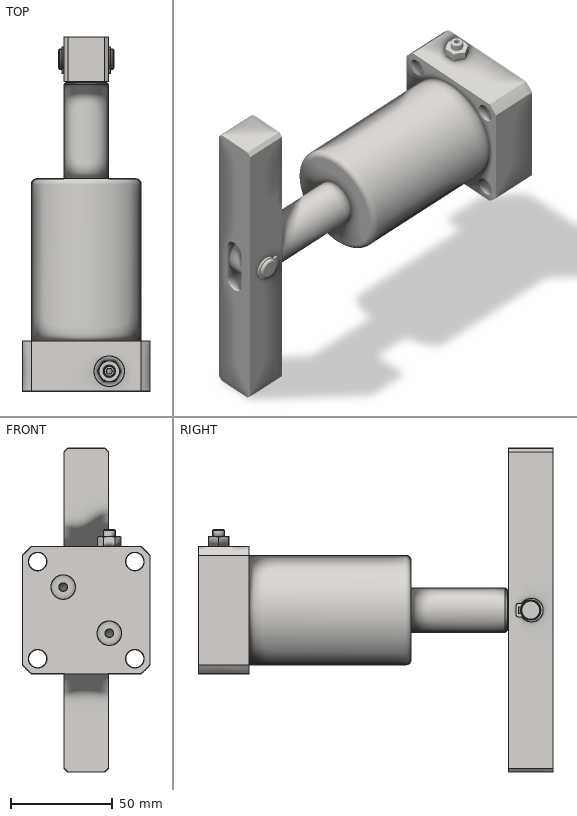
import cadquery as cq
import math


FLANGE_WIDTH = 63.0
FLANGE_DEPTH = 25.0
FLANGE_CORNER_DIAMETER = 83.0
CYLINDER_DIAMETER = 54.0
CYLINDER_END_Y = 105.0
CYLINDER_EDGE_RADIUS = 2.8
BOLT_HOLE_DIAMETER = 9.0
BOLT_HOLE_OFFSET = 24.0

PORT_OFFSET = 11.4
PORT_SEAL_DIAMETER = 12.0
PORT_SEAL_DEPTH = 1.4
PORT_DRILL_DIAMETER = 4.2
PORT_DRILL_DEPTH = 7.0
DRILL_POINT_ANGLE = 118.0

VALVE_X = PORT_OFFSET
VALVE_Y = 10.0
PLUG_DIAMETER = 15.0
PLUG_DEPTH = 5.0
HEXAGON_FLATS = 10.2
HEXAGON_HEIGHT = 4.9
HEXAGON_BEVEL_ANGLE = 30.0
SCREW_DIAMETER = 6.0
SCREW_HEIGHT = 3.3
SCREW_CHAMFER = 0.5
SOCKET_FLATS = 2.8
SOCKET_DEPTH = 2.1

OVERALL_LENGTH = 175.0
ARM_WIDTH = 22.0
ARM_LENGTH = 160.0
ARM_CHAMFER = 2.0
ARM_FRONT_Y = OVERALL_LENGTH - ARM_WIDTH
SLOT_WIDTH = 10.0
SLOT_LENGTH = 30.6

ROD_DIAMETER = ARM_WIDTH
ROD_GAP = 0.5
ROD_CHAMFER = 1.0
ROD_SHOULDER_Y = ARM_FRONT_Y - ROD_GAP
TONGUE_DIAMETER = ROD_DIAMETER - 2 * ROD_CHAMFER

PIN_DIAMETER = 10.0
PIN_LENGTH = 27.3
PIN_CHAMFER = 0.5
PIN_Y = OVERALL_LENGTH - ARM_WIDTH / 2
RING_DIAMETER = 11.5
RING_OFFSET = 0.4
RING_THICKNESS = 1.0
RING_LUG_REACH = 7.2
RING_LUG_WIDTH = 6.6
RING_LUG_CORNER_RADIUS = 1.0
RING_NOTCH_REACH = 6.1
RING_NOTCH_WIDTH = 3.2


def cylinder_along_y(diameter, start_y, end_y, x=0.0, z=0.0):
    """A cylinder parallel to the Y axis."""
    solid = cq.Solid.makeCylinder(diameter / 2, end_y - start_y, cq.Vector(x, start_y, z), cq.Vector(0, 1, 0))
    return cq.Workplane(obj=solid)


def cylinder_along_x(diameter, length):
    """A cylinder on the pin axis, centred on X = 0."""
    start = cq.Vector(-length / 2, PIN_Y, 0)
    return cq.Workplane(obj=cq.Solid.makeCylinder(diameter / 2, length, start, cq.Vector(1, 0, 0)))


def box_between(x_range, y_range, z_range):
    """A box given by its lower and upper limit on each axis."""
    lower, upper = zip(x_range, y_range, z_range)
    size = [high - low for low, high in zip(lower, upper)]
    return cq.Workplane().box(*size, centered=False).translate(lower)


def make_flange():
    """Square plate whose corners are turned off round."""
    half = FLANGE_WIDTH / 2
    plate = box_between((-half, half), (0, FLANGE_DEPTH), (-half, half))
    return plate.intersect(cylinder_along_y(FLANGE_CORNER_DIAMETER, 0, FLANGE_DEPTH))


def make_port(x, z):
    """Seal recess and blind drilling with a conical bottom, as a cutting shape."""
    recess = cylinder_along_y(PORT_SEAL_DIAMETER, 0, PORT_SEAL_DEPTH, x, z)
    drilling = cylinder_along_y(PORT_DRILL_DIAMETER, 0, PORT_DRILL_DEPTH, x, z)
    radius = PORT_DRILL_DIAMETER / 2
    point_height = radius / math.tan(math.radians(DRILL_POINT_ANGLE / 2))
    point_start = cq.Vector(x, PORT_DRILL_DEPTH, z)
    point = cq.Solid.makeCone(radius, 0, point_height, point_start, cq.Vector(0, 1, 0))
    return recess.union(drilling).union(cq.Workplane(obj=point))


def make_plug():
    """Disc flush with the flange's top side; also the recess cut for it."""
    plane = cq.Workplane("XY", origin=(VALVE_X, VALVE_Y, FLANGE_WIDTH / 2 - PLUG_DEPTH))
    return plane.circle(PLUG_DIAMETER / 2).extrude(PLUG_DEPTH)


def make_housing():
    barrel = cylinder_along_y(CYLINDER_DIAMETER, FLANGE_DEPTH, CYLINDER_END_Y)
    barrel = barrel.faces(">Y").edges().fillet(CYLINDER_EDGE_RADIUS)
    housing = make_flange().union(barrel)
    for x_side in (-1, 1):
        for z_side in (-1, 1):
            hole_x = x_side * BOLT_HOLE_OFFSET
            hole_z = z_side * BOLT_HOLE_OFFSET
            housing = housing.cut(cylinder_along_y(BOLT_HOLE_DIAMETER, 0, FLANGE_DEPTH, hole_x, hole_z))
    for port_side in (-1, 1):
        housing = housing.cut(make_port(port_side * PORT_OFFSET, -port_side * PORT_OFFSET))
    return housing.cut(make_plug())


def hexagon_prism(flats, height, start_z):
    """Hexagonal prism on the valve axis, with two of its flats facing along Y."""
    corners = flats / math.cos(math.radians(30))
    plane = cq.Workplane("XY", origin=(VALVE_X, VALVE_Y, start_z))
    return plane.polygon(6, corners).extrude(height)


def make_hexagon():
    """Wrench hexagon whose upper corners are bevelled by a cone that meets the top at its flats."""
    start_z = FLANGE_WIDTH / 2
    prism = hexagon_prism(HEXAGON_FLATS, HEXAGON_HEIGHT, start_z)
    top_radius = HEXAGON_FLATS / 2
    base_radius = top_radius + HEXAGON_HEIGHT / math.tan(math.radians(HEXAGON_BEVEL_ANGLE))
    base_centre = cq.Vector(VALVE_X, VALVE_Y, start_z)
    bevel = cq.Solid.makeCone(base_radius, top_radius, HEXAGON_HEIGHT, base_centre, cq.Vector(0, 0, 1))
    return prism.intersect(cq.Workplane(obj=bevel))


def make_valve():
    screw_z = FLANGE_WIDTH / 2 + HEXAGON_HEIGHT
    screw_top_z = screw_z + SCREW_HEIGHT
    screw = cq.Workplane("XY", origin=(VALVE_X, VALVE_Y, screw_z)).circle(SCREW_DIAMETER / 2)
    screw = screw.extrude(SCREW_HEIGHT).faces(">Z").edges().chamfer(SCREW_CHAMFER)
    socket = hexagon_prism(SOCKET_FLATS, SOCKET_DEPTH, screw_top_z - SOCKET_DEPTH)
    return make_plug().union(make_hexagon()).union(screw).cut(socket)


def make_rod():
    rod = cylinder_along_y(ROD_DIAMETER, CYLINDER_END_Y, ROD_SHOULDER_Y)
    rod = rod.faces(">Y").edges().chamfer(ROD_CHAMFER)
    half_height = TONGUE_DIAMETER / 2
    half_slot = SLOT_WIDTH / 2
    slab = box_between((-half_slot, half_slot), (CYLINDER_END_Y, PIN_Y), (-half_height, half_height))
    slab = slab.union(cylinder_along_x(TONGUE_DIAMETER, SLOT_WIDTH))
    tongue = cylinder_along_y(TONGUE_DIAMETER, CYLINDER_END_Y, OVERALL_LENGTH).intersect(slab)
    return rod.union(tongue).cut(cylinder_along_x(PIN_DIAMETER, PIN_LENGTH))


def make_arm():
    half_width = ARM_WIDTH / 2
    half_length = ARM_LENGTH / 2
    arm = box_between((-half_width, half_width), (ARM_FRONT_Y, OVERALL_LENGTH), (-half_length, half_length))
    for end in (">Z", "<Z"):
        arm = arm.faces(end).edges("|Y").chamfer(ARM_CHAMFER)
    back_plane = cq.Workplane("XZ", origin=(0, OVERALL_LENGTH, 0))
    slot = back_plane.slot2D(SLOT_LENGTH, SLOT_WIDTH, 90).extrude(ARM_WIDTH)
    return arm.cut(slot).cut(cylinder_along_x(PIN_DIAMETER, PIN_LENGTH))


def make_pin():
    return cylinder_along_x(PIN_DIAMETER, PIN_LENGTH).faces("<X or >X").edges().chamfer(PIN_CHAMFER)


def make_ring(side):
    """Ring lying against the arm, thicker away from the cylinder, with a notched lug pointing toward it."""
    start_x = ARM_WIDTH / 2 if side > 0 else -ARM_WIDTH / 2 - RING_THICKNESS
    end_x = start_x + RING_THICKNESS

    def bar(reach, width):
        return box_between((start_x, end_x), (PIN_Y - reach, PIN_Y), (-width / 2, width / 2))

    side_plane = cq.Workplane("YZ", origin=(start_x, PIN_Y + RING_OFFSET, 0))
    disc = side_plane.circle(RING_DIAMETER / 2).extrude(RING_THICKNESS)
    lug = bar(RING_LUG_REACH, RING_LUG_WIDTH).faces("<Y").edges("|X").fillet(RING_LUG_CORNER_RADIUS)
    ring = disc.union(lug).cut(bar(RING_NOTCH_REACH, RING_NOTCH_WIDTH))
    return ring.cut(cylinder_along_x(PIN_DIAMETER, PIN_LENGTH))


housing = make_housing()
valve = make_valve()
rod = make_rod()
arm = make_arm()
pin = make_pin()
rings = [make_ring(side).val() for side in (-1, 1)]

result = cq.Compound.makeCompound([housing.val(), valve.val(), rod.val(), arm.val(), pin.val(), *rings])